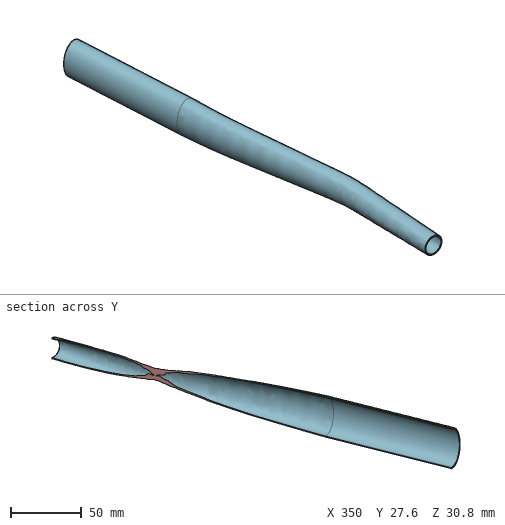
import cadquery as cq
import math

mouth_half_width = 10.5
mouth_half_height = 15.4
wall = 1.0

tip_bore_diameter = 14.0
tip_outer_radius = tip_bore_diameter / 2 + wall

straight_length = 110.0
rise_corner_x = 141.5
rise_angle = math.radians(4.2)
rise_bend_length = 40.0
crest_corner_x = 258.9
fall_angle = math.radians(6.0)
crest_bend_length = 24.0
overall_length = 350.03
centreline_steps = 40

tip_x = overall_length - tip_outer_radius * math.sin(fall_angle)
rise_slope = math.tan(rise_angle)
fall_slope = math.tan(fall_angle)
tip_y = rise_slope * (tip_x - rise_corner_x) - (rise_slope + fall_slope) * (tip_x - crest_corner_x)
tip_direction = cq.Vector(math.cos(fall_angle), -math.sin(fall_angle), 0)

mouth_plane = cq.Plane(origin=(0, 0, 0), xDir=(0, 0, -1), normal=(1, 0, 0))
taper_plane = cq.Plane(origin=(straight_length, 0, 0), xDir=(0, 0, -1), normal=(1, 0, 0))
tip_plane = cq.Plane(origin=(tip_x, tip_y, 0), xDir=(0, 0, -1), normal=tip_direction)


def slope_gain(distance, bend_length):
    """Rise gained per unit of slope change, at a distance along X past a corner.

    Zero before the bend, a parabola through it, and equal to the distance after it.
    """
    into_bend = distance + bend_length / 2
    if into_bend <= 0:
        return 0
    if into_bend < bend_length:
        return into_bend**2 / (2 * bend_length)
    return distance


def centreline_point(x):
    """Point of the centreline at the given X."""
    rise = rise_slope * slope_gain(x - rise_corner_x, rise_bend_length)
    fall = (rise_slope + fall_slope) * slope_gain(x - crest_corner_x, crest_bend_length)
    return (x, rise - fall)


def tapered_centreline():
    """One smooth curve from the end of the straight length to the tip."""
    return cq.Workplane("XY").parametricCurve(
        centreline_point, N=centreline_steps, start=straight_length, stop=tip_x
    )


def straight_body(inset):
    """Oval rod filling the straight length, set in from the tube's outside by inset."""
    half_width = mouth_half_width - inset
    half_height = mouth_half_height - inset
    return cq.Workplane(mouth_plane).ellipse(half_height, half_width).extrude(straight_length)


def tapered_body(inset):
    """Bent rod from the oval section to the round tip, set in from the tube's outside by inset."""
    half_width = mouth_half_width - inset
    half_height = mouth_half_height - inset
    tip_section = cq.Workplane(tip_plane).circle(tip_outer_radius - inset).wire()
    sections = cq.Workplane(taper_plane).ellipse(half_height, half_width)
    sections = sections.add(tip_section).toPending()
    return sections.sweep(tapered_centreline(), multisection=True)


straight_tube = straight_body(0).cut(straight_body(wall))
tapered_tube = tapered_body(0).cut(tapered_body(wall))
result = straight_tube.union(tapered_tube)